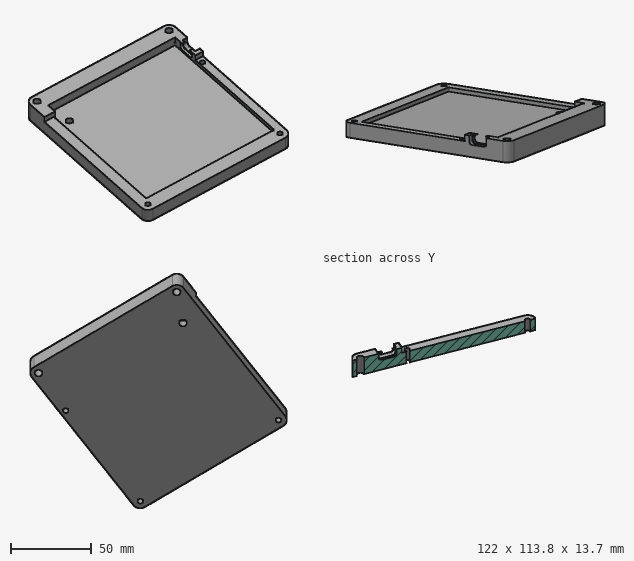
import cadquery as cq

length = 122.0
width = 113.8
height = 13.7
rim_height = 9.6
corner_radius = 5.0

pocket_left = 12.2
pocket_right = 112.1
pocket_front = 7.4
pocket_back = 107.8
pocket_floor = 7.0
pocket_corner_radius = 0.6

foot_right = 19.1
foot_back = 8.4
block_right = 32.8

connector_center = 23.3
passage_width = 11.7
passage_floor = 8.2
passage_radius = 2.2
recess_width = 12.4
recess_floor = 7.9
recess_depth = 3.7
recess_radius = 2.2

large_hole_diameter = 4.8
small_hole_diameter = 3.4
corner_hole_inset = 5.1
rim_hole_position = (37.0, 110.0)
floor_hole_position = (25.7, 14.5)


def box(left, right, front, back, bottom, top):
    """Box given by its limits along X, Y and Z."""
    size = (right - left, back - front, top - bottom)
    return cq.Workplane("XY").box(*size, centered=False).translate((left, front, bottom))


def make_plate():
    """Low rim and floor plus the raised left wall, inside one rounded outline."""
    plate = box(0, length, 0, width, 0, rim_height)
    pocket = box(pocket_left, pocket_right, pocket_front, pocket_back, pocket_floor, height)
    plate = plate.cut(pocket.edges("|Z").fillet(pocket_corner_radius))

    left_wall = box(0, pocket_left, 0, width, 0, height)
    foot = box(0, foot_right, 0, foot_back, 0, height)
    block = box(0, block_right, pocket_back, width, 0, height)
    plate = plate.union(left_wall).union(foot).union(block)

    outline = box(0, length, 0, width, 0, height).edges("|Z").fillet(corner_radius)
    return plate.intersect(outline)


def cut_connector_opening(plate):
    """Rounded passage just reaching the top face, with an open-topped recess behind it."""
    passage_left = connector_center - passage_width / 2
    passage_right = connector_center + passage_width / 2
    passage = box(passage_left, passage_right, pocket_back, width, passage_floor, height)
    passage = passage.edges("|Y").fillet(passage_radius)

    recess_left = connector_center - recess_width / 2
    recess_right = connector_center + recess_width / 2
    recess = box(recess_left, recess_right, width - recess_depth, width, recess_floor, height)
    recess = recess.edges("|Y and <Z").fillet(recess_radius)
    return plate.cut(passage).cut(recess)


def drill(plate, diameter, positions):
    """Through holes along Z."""
    holes = cq.Workplane("XY").pushPoints(positions).circle(diameter / 2).extrude(height)
    return plate.cut(holes)


corner_hole_rows = (corner_hole_inset, width - corner_hole_inset)
large_holes = [(corner_hole_inset, y) for y in corner_hole_rows] + [floor_hole_position]
small_holes = [(length - corner_hole_inset, y) for y in corner_hole_rows] + [rim_hole_position]

result = make_plate()
result = cut_connector_opening(result)
result = drill(result, large_hole_diameter, large_holes)
result = drill(result, small_hole_diameter, small_holes)